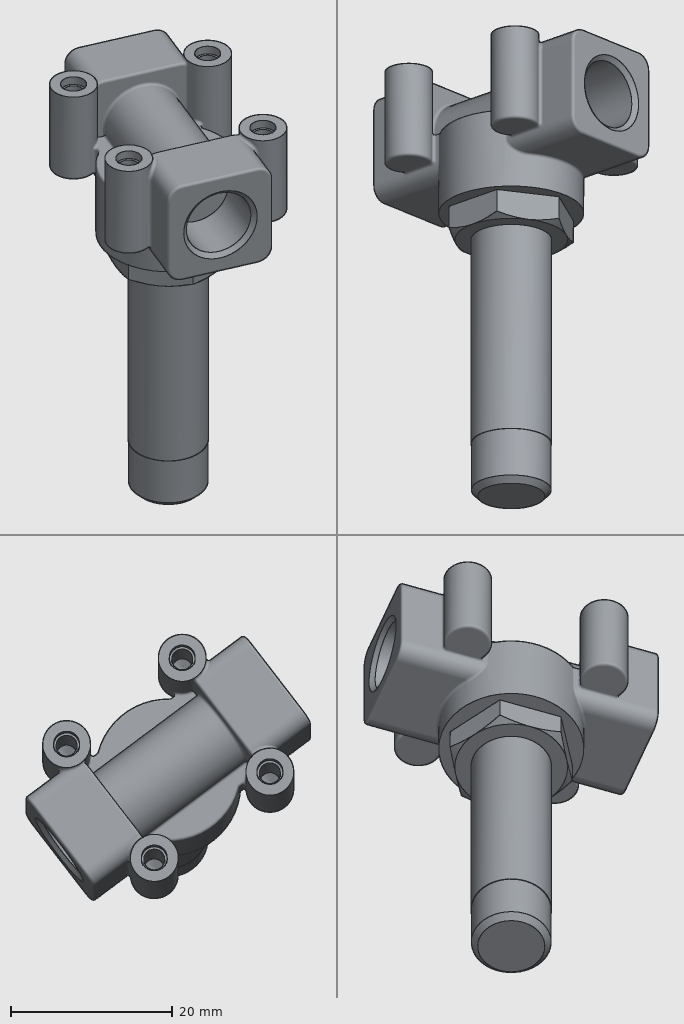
import cadquery as cq
import math


overall_length = 34.0
block_size = 14.0
block_corner_radius = 2.0
block_inner_x = 8.5

rounding = 0.35

port_diameter = 8.65
port_mouth_diameter = 9.85
port_depth = 7.95

tube_radius = 5.1

body_radius = 9.0
body_top_z = -1.15
body_bottom_z = -11.45

boss_offset = body_radius
boss_diameter = 5.95
boss_top_z = 7.3
boss_height = 12.35
screw_hole_diameter = 2.6
screw_mouth_diameter = 3.25
screw_mouth_depth = 1.15
screw_hole_depth = 7.95
drill_point_depth = screw_hole_diameter / 2 * 0.6

hex_across_flats = 14.0
hex_across_corners = hex_across_flats * 2 / math.sqrt(3)
hex_bottom_z = -14.95
hex_chamfer_slope = 0.58
stem_diameter = 10.0
stem_bottom_z = boss_top_z - 56.65
tip_diameter = 9.9
tip_length = 7.0
tip_chamfer = 0.8


tolerance = 0.015


def distance_from_tube_axis(point):
    return math.hypot(point.y, point.z)


def distance_from_boss_axis(point):
    return math.hypot(abs(point.x) - boss_offset, abs(point.y) - boss_offset)


def lies_at(edge, distance, radius):
    """True if the whole edge keeps the given radius from an axis."""
    return all(abs(distance(edge.positionAt(i / 4)) - radius) < tolerance for i in range(5))


def is_block_to_body_edge(edge):
    """Edges between the inner block faces, except where those faces stand on the body top."""
    center = edge.Center()
    between_faces = abs(center.x) < block_inner_x + tolerance and center.z > -block_size / 2 - tolerance
    face_foot = abs(center.y) < tolerance and abs(center.z - body_top_z) < tolerance
    return between_faces and not face_foot


def is_tube_joint(edge):
    return lies_at(edge, distance_from_tube_axis, tube_radius)


def is_boss_joint(edge):
    beside_block = abs(edge.Center().y) < block_size / 2 + tolerance
    return beside_block and lies_at(edge, distance_from_boss_axis, boss_diameter / 2)


def make_cylinder(radius, bottom_z, top_z):
    return cq.Workplane("XY").workplane(offset=bottom_z).circle(radius).extrude(top_z - bottom_z)


def make_blocks():
    """Square bar with rounded edges, cut down to the body top between the blocks."""
    bar = (
        cq.Workplane("YZ")
        .rect(block_size, block_size)
        .extrude(overall_length / 2, both=True)
        .edges("|X")
        .fillet(block_corner_radius)
        .faces("<X or >X")
        .edges()
        .fillet(rounding)
    )
    gap = cq.Workplane("XY").box(
        2 * block_inner_x, 2 * block_size, block_size, centered=(True, True, False)
    ).translate((0, 0, body_top_z))
    return bar.cut(gap)


def make_body():
    return make_cylinder(body_radius, body_bottom_z, body_top_z)


def make_tube():
    return cq.Workplane("YZ").circle(tube_radius).extrude(block_inner_x, both=True)


def make_boss():
    boss = make_cylinder(boss_diameter / 2, boss_top_z - boss_height, boss_top_z)
    return boss.faces("<Z").edges().fillet(rounding)


def make_screw_hole():
    """Blind drilled hole with a stepped mouth and a conical bottom."""
    radius = screw_hole_diameter / 2
    mouth_radius = screw_mouth_diameter / 2
    return (
        cq.Workplane("XZ")
        .moveTo(0, boss_top_z)
        .lineTo(mouth_radius, boss_top_z)
        .lineTo(mouth_radius, boss_top_z - screw_mouth_depth)
        .lineTo(radius, boss_top_z - screw_mouth_depth)
        .lineTo(radius, boss_top_z - screw_hole_depth)
        .lineTo(0, boss_top_z - screw_hole_depth - drill_point_depth)
        .close()
        .revolve(360, (0, 0, 0), (0, 1, 0))
    )


def make_port():
    """Blind port opening on the -X end, with a chamfered mouth."""
    end_x = -overall_length / 2
    radius = port_diameter / 2
    mouth_radius = port_mouth_diameter / 2
    return (
        cq.Workplane("XZ")
        .moveTo(end_x, 0)
        .lineTo(end_x, mouth_radius)
        .lineTo(end_x + mouth_radius - radius, radius)
        .lineTo(end_x + port_depth, radius)
        .lineTo(end_x + port_depth, 0)
        .close()
        .revolve(360, (0, 0, 0), (1, 0, 0))
    )


def make_hexagon():
    """Hexagon with corners on the X axis and a conical chamfer at its lower corners."""
    height = body_bottom_z - hex_bottom_z
    hexagon = (
        cq.Workplane("XY").workplane(offset=hex_bottom_z).polygon(6, hex_across_corners).extrude(height)
    )
    flat_radius = hex_across_flats / 2
    cone_top_radius = flat_radius + height / hex_chamfer_slope
    cone = (
        cq.Workplane("XZ")
        .moveTo(0, hex_bottom_z)
        .lineTo(flat_radius, hex_bottom_z)
        .lineTo(cone_top_radius, body_bottom_z)
        .lineTo(0, body_bottom_z)
        .close()
        .revolve(360, (0, 0, 0), (0, 1, 0))
    )
    return hexagon.intersect(cone)


def make_stem():
    tip_top_z = stem_bottom_z + tip_length
    shank = make_cylinder(stem_diameter / 2, tip_top_z, hex_bottom_z)
    tip = make_cylinder(tip_diameter / 2, stem_bottom_z, tip_top_z)
    return shank.union(tip.faces("<Z").edges().chamfer(tip_chamfer))


result = make_blocks().union(make_body())
result = result.edges().filter(is_block_to_body_edge).fillet(rounding)
result = result.union(make_tube())
result = result.edges().filter(is_tube_joint).fillet(rounding)

boss_places = [(x, y) for x in (-boss_offset, boss_offset) for y in (-boss_offset, boss_offset)]
for x, y in boss_places:
    result = result.union(make_boss().translate((x, y, 0)))
result = result.edges().filter(is_boss_joint).fillet(rounding)
for x, y in boss_places:
    result = result.cut(make_screw_hole().translate((x, y, 0)))

result = result.cut(make_port()).cut(make_port().mirror("YZ"))
result = result.union(make_hexagon()).union(make_stem())